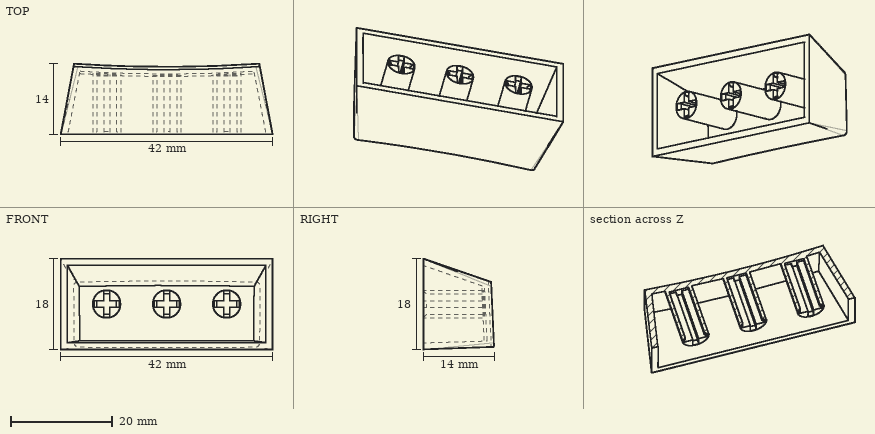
import cadquery as cq
import math

width = 42.0
height = 18.0
depth = 14.03
wall = 1.35

back_width = 36.7
back_bottom = 0.5
back_top = 13.2
back_corner_radius = 0.9
mouth_corner_radius = 0.02

cavity_back_width = 33.85
cavity_back_bottom = 1.75
cavity_back_top = 11.8

dish_sag = 0.65
lean_run = 1.4
lean_rise = 30.7
lean_angle = math.degrees(math.atan2(lean_run, lean_rise))
dish_radius = ((back_width / 2) ** 2 + dish_sag ** 2) / (2 * dish_sag)

stem_diameter = 5.5
stem_pitch = 11.9
stem_z = height / 2
stem_count = 3
socket_depth = depth
cross_length_x = 3.9
cross_length_z = 4.0
upright_slot_width = 1.18
level_slot_width = 1.3
lead_in_x = 0.5
lead_in_z = 0.6
lead_in_depth = 0.65


def rectangle_wire(size_x, bottom, top, y, radius=0):
    """Rectangle centred on X = 0, parallel to the mouth, with optional round corners."""
    sketch = cq.Sketch().rect(size_x, top - bottom)
    if radius:
        sketch = sketch.vertices().fillet(radius)
    plane = cq.Workplane("XZ", origin=(0, y, (bottom + top) / 2))
    slab = plane.placeSketch(sketch).extrude(-0.4)
    return slab.faces("<Y").wires().val()


def loft(front_wire, back_wire):
    return cq.Workplane(cq.Solid.makeLoft([front_wire, back_wire], True))


def dish_space(inset):
    """Everything in front of the dished back face moved inward by inset."""
    half = 0.6 * width
    centre_y = math.sqrt(dish_radius ** 2 - (back_width / 2) ** 2)
    edge = centre_y - math.sqrt(dish_radius ** 2 - half ** 2)
    low = centre_y - dish_radius
    block = (
        cq.Workplane("XY")
        .moveTo(-half, -2 * depth)
        .lineTo(half, -2 * depth)
        .lineTo(half, edge)
        .threePointArc((0, low), (-half, edge))
        .close()
        .extrude(2 * height, both=True)
    )
    return block.rotate((0, 0, 0), (1, 0, 0), lean_angle).translate((0, depth - inset, back_bottom))


def slot(size_x, size_z, lead_x, lead_z):
    """Socket slot with a lead-in flare at its two ends."""
    bottom = stem_z - size_z / 2
    top = stem_z + size_z / 2
    body = cq.Workplane("XY").box(size_x, socket_depth, size_z).translate((0, socket_depth / 2, stem_z))
    flare = loft(
        rectangle_wire(size_x + 2 * lead_x, bottom - lead_z, top + lead_z, 0),
        rectangle_wire(size_x, bottom, top, lead_in_depth),
    )
    return body.union(flare)


shell = loft(
    rectangle_wire(width, 0, height, 0, mouth_corner_radius),
    rectangle_wire(back_width, back_bottom, back_top, depth, back_corner_radius),
).intersect(dish_space(0))

cavity = loft(
    rectangle_wire(width - 2 * wall, wall, height - wall, 0),
    rectangle_wire(cavity_back_width, cavity_back_bottom, cavity_back_top, depth),
).intersect(dish_space(wall))

stem = cq.Workplane("XZ", origin=(0, 0, stem_z)).circle(stem_diameter / 2).extrude(-depth)
socket = slot(cross_length_x, level_slot_width, lead_in_x, 0)
socket = socket.union(slot(upright_slot_width, cross_length_z, 0, lead_in_z)).intersect(dish_space(wall))

result = shell.cut(cavity)
for index in range(stem_count):
    stem_x = (index - (stem_count - 1) / 2) * stem_pitch
    placed_stem = stem.cut(socket).translate((stem_x, 0, 0))
    result = result.union(placed_stem.intersect(shell))